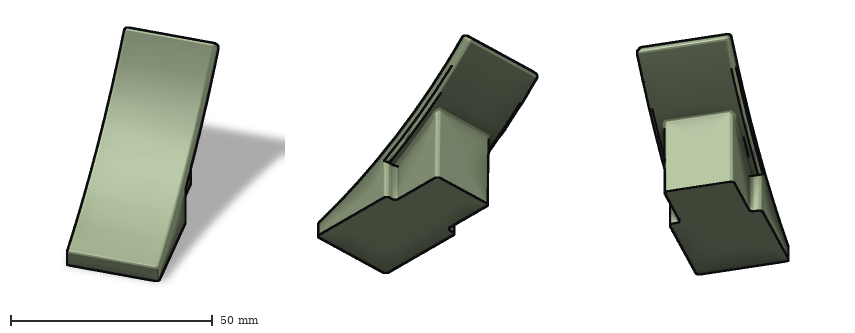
import cadquery as cq
import math

width = 24.0
edge_radius = 1.0
tolerance = 0.005

arc_center_y = -39.1
arc_center_z = 127.45
top_radius = 129.4
plate_thickness = 4.1
under_radius = top_radius + plate_thickness
tip_angle = 44.8

block_depth = 24.95
support_end = 39.95
support_inset = 3.0
support_width = width - 2 * support_inset
back_lean = 1.0


def arc_point(radius, angle):
    """Return the (y, z) point on an arc of the plate at an angle from straight down."""
    turn = math.radians(angle)
    return arc_center_y + radius * math.sin(turn), arc_center_z - radius * math.cos(turn)


def angle_at(radius, y):
    """Return the angle at which an arc of the plate reaches y."""
    return math.degrees(math.asin((y - arc_center_y) / radius))


def extrude_centered(profile, body_width):
    """Extrude a YZ profile symmetrically about X = 0."""
    return profile.close().extrude(body_width / 2, both=True)


def make_plate_and_block():
    top_start = angle_at(top_radius, 0)
    under_start = angle_at(under_radius, block_depth)
    profile = (
        cq.Workplane("YZ")
        .lineTo(*arc_point(top_radius, top_start))
        .threePointArc(
            arc_point(top_radius, (top_start + tip_angle) / 2),
            arc_point(top_radius, tip_angle),
        )
        .lineTo(*arc_point(under_radius, tip_angle))
        .threePointArc(
            arc_point(under_radius, (under_start + tip_angle) / 2),
            arc_point(under_radius, under_start),
        )
        .lineTo(block_depth, 0)
    )
    body = extrude_centered(profile, width)
    corner = cq.Vector(0, *arc_point(under_radius, under_start))
    rounded = [
        edge for edge in body.edges().vals()
        if edge.Center().z > tolerance and (edge.Center() - corner).Length > tolerance
    ]
    return body.newObject(rounded).fillet(edge_radius)


def make_support():
    """Make the inset support, reaching up into the middle of the plate."""
    middle_radius = top_radius + plate_thickness / 2
    front_y = block_depth / 2
    front = arc_point(middle_radius, angle_at(middle_radius, front_y))
    back = arc_point(middle_radius, angle_at(middle_radius, support_end))
    leaning_back = (support_end + back[1] * math.tan(math.radians(back_lean)), back[1])
    profile = (
        cq.Workplane("YZ")
        .moveTo(front_y, 0)
        .lineTo(*front)
        .lineTo(*leaning_back)
        .lineTo(support_end, 0)
    )
    support = extrude_centered(profile, support_width)
    return support.faces(">Y").edges("<X or >X").fillet(edge_radius)


def fillet_step(part):
    """Blend the support sides into the block and plate."""
    side_x = support_width / 2
    edges = [
        edge for edge in part.edges().vals()
        if abs(abs(edge.Center().x) - side_x) < tolerance
        and block_depth - tolerance < edge.Center().y < support_end - edge_radius
        and edge.Center().z > tolerance
    ]
    return part.newObject(edges).fillet(edge_radius)


result = fillet_step(make_plate_and_block().union(make_support()))